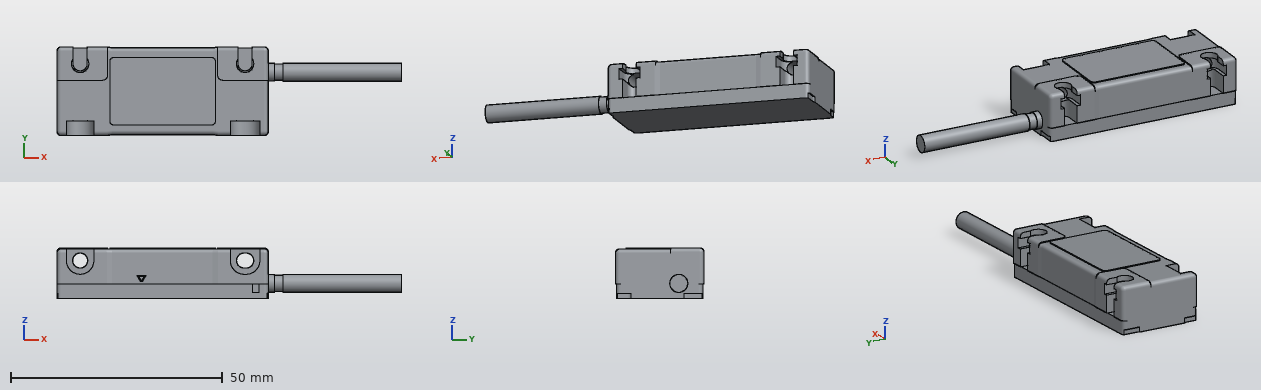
import cadquery as cq
import math

length = 50.0
width = 21.0
pad_top = 12.0
main_top = 11.75
parting_height = 3.5
side_inset = 0.25
edge_radius = 1.0

recess_start = 11.85
recess_slope = 1.25
recess_depth = 0.2

pad_length = 12.0
pad_width = 7.9
pad_corner_radius = 1.2
label_length = 25.0
label_width = 16.0
label_corner_radius = 1.0
label_top = pad_top

hole_inset = 5.5
hole_height = 9.0
hole_diameter = 3.5
counterbore_radius = 3.25
counterbore_depth = 3.5
right_hole_stretch = 0.5

tee_center_y = width - 4.0
keyhole_radius = 2.05
tee_slot_width = 3.35
tee_cavity_width = 5.2
tee_cavity_bottom = 8.0
tee_cavity_top = 10.6

cable_end = 81.5
cable_y = 15.0
cable_z = 3.6
cable_diameter = 4.3
sleeve_diameter = 4.25
neck_diameter = 3.9
sleeve_length = 1.4
neck_length = 2.0

marker_x = 20.0
marker_top = 5.5
marker_width = 2.2
marker_height = 1.4
marker_tip_width = 0.5
marker_depth = 0.3
marker_taper = 40.0

window_left = 46.3
window_width = 1.5
window_bottom = 1.5
window_depth = 1.0

notch_height = 1.25
notch_depth = 0.3
notch_front_end = 3.75
notch_rear_end = 16.25
notch_radius = 1.0


def make_base():
    """Lower body, narrower than the upper housing."""
    base_width = width - 2 * side_inset
    base = cq.Workplane("XY").box(length, base_width, parting_height, centered=False)
    return base.translate((0, side_inset, 0)).edges("|Z").fillet(edge_radius)


def make_housing(top):
    """Upper housing up to the given height, waisted along both long sides."""
    slope_end = recess_start + recess_slope
    outline = [
        (0, 0),
        (recess_start, 0),
        (slope_end, recess_depth),
        (length - slope_end, recess_depth),
        (length - recess_start, 0),
        (length, 0),
        (length, width),
        (length - recess_start, width),
        (length - slope_end, width - recess_depth),
        (slope_end, width - recess_depth),
        (recess_start, width),
        (0, width),
    ]
    block = cq.Workplane("XY").workplane(offset=parting_height).polyline(outline).close()
    block = block.extrude(top - parting_height)
    block = block.faces("<X or >X").edges("|Z").fillet(edge_radius)
    return block.faces(">Z").edges().fillet(edge_radius)


def make_pads():
    """Rear corner pads, cut from a taller copy of the housing."""
    footprint_length = pad_length + pad_corner_radius
    footprint_width = pad_width + pad_corner_radius
    footprint = cq.Workplane("XY").box(footprint_length, footprint_width, pad_top, centered=False)
    left_footprint = (
        footprint.edges("|Z")
        .fillet(pad_corner_radius)
        .translate((-pad_corner_radius, width - pad_width, 0))
    )
    left_pad = make_housing(pad_top).intersect(left_footprint)
    return left_pad.union(left_pad.mirror("YZ", (length / 2, 0, 0)))


def make_label():
    """Flat label plate, standing slightly above the main top face."""
    label = cq.Workplane("XY").box(label_length, label_width, label_top - parting_height, centered=False)
    label = label.edges("|Z").fillet(label_corner_radius)
    return label.translate(((length - label_length) / 2, (width - label_width) / 2, parting_height))


def round_prism(center_x, diameter, stretch, start_y, depth):
    """Horizontal prism along Y, round or stretched along X into a slot."""
    plane = cq.Workplane("XZ", origin=(center_x, start_y, hole_height))
    if stretch > 0:
        return plane.slot2D(diameter + stretch, diameter).extrude(-depth)
    return plane.circle(diameter / 2).extrude(-depth)


def mounting_cut(center_x, stretch):
    """Through hole with an open-topped counterbore on the front face."""
    bore_diameter = 2 * counterbore_radius
    hole = round_prism(center_x, hole_diameter, stretch, 0, width)
    bore = round_prism(center_x, bore_diameter, stretch, 0, counterbore_depth)
    opening = cq.Workplane("XY").box(
        bore_diameter + stretch, counterbore_depth, counterbore_radius, centered=(True, False, False)
    )
    return hole.union(bore).union(opening.translate((center_x, 0, hole_height)))


def rear_slot(center_x, slot_width, bottom, top):
    """Vertical slot with a round inner end, open toward the rear."""
    half_width = slot_width / 2
    reach = width - tee_center_y
    return (
        cq.Workplane("XY", origin=(center_x, tee_center_y, bottom))
        .moveTo(-half_width, reach)
        .lineTo(-half_width, 0)
        .threePointArc((0, -half_width), (half_width, 0))
        .lineTo(half_width, reach)
        .close()
        .extrude(top - bottom)
    )


def tee_slot_cut(center_x):
    narrow = rear_slot(center_x, tee_slot_width, parting_height, pad_top)
    cavity = rear_slot(center_x, tee_cavity_width, tee_cavity_bottom, tee_cavity_top)
    keyhole = cq.Workplane("XY", origin=(center_x, tee_center_y, tee_cavity_bottom))
    keyhole = keyhole.circle(keyhole_radius).extrude(pad_top - tee_cavity_bottom)
    return narrow.union(cavity).union(keyhole)


def make_cable():
    """Cable leaving the right end through a sleeve and a thinner neck."""
    plane = cq.Workplane("YZ", origin=(length, cable_y, cable_z))
    sleeve = plane.circle(sleeve_diameter / 2).extrude(sleeve_length)
    neck_plane = plane.workplane(offset=sleeve_length)
    neck = neck_plane.circle(neck_diameter / 2).extrude(neck_length)
    cable_plane = neck_plane.workplane(offset=neck_length)
    cable_length = cable_end - length - sleeve_length - neck_length
    cable = cable_plane.circle(cable_diameter / 2).extrude(cable_length)
    return sleeve.union(neck).union(cable)


def marker_cut():
    """Downward-pointing blunt triangle, sunk into the front recess with sloping walls."""
    outline = [
        (-marker_width / 2, 0),
        (marker_width / 2, 0),
        (marker_tip_width / 2, -marker_height),
        (-marker_tip_width / 2, -marker_height),
    ]
    plane = cq.Workplane("XZ", origin=(marker_x, recess_depth, marker_top))
    return plane.polyline(outline).close().extrude(-marker_depth, taper=marker_taper)


def window_cut():
    """Small blind window reaching up to the parting line."""
    window = cq.Workplane("XY").box(
        window_width, window_depth, parting_height - window_bottom, centered=False
    )
    return window.translate((window_left, side_inset, window_bottom))


def end_notch_cuts():
    """Shallow finger notches at the bottom corners of the left end, inner ends rounded."""
    arc_run = math.sqrt(2 * notch_radius * notch_depth - notch_depth**2)
    arc_center_x = notch_depth - notch_radius
    half_angle = math.acos(-arc_center_x / notch_radius) / 2
    cuts = cq.Workplane("XY")
    for side_y, inner_y, inward in ((0, notch_front_end, 1), (width, notch_rear_end, -1)):
        flat_y = inner_y - inward * arc_run
        arc_middle = (
            arc_center_x + notch_radius * math.cos(half_angle),
            flat_y + inward * notch_radius * math.sin(half_angle),
        )
        notch = (
            cq.Workplane("XY")
            .moveTo(0, side_y)
            .lineTo(notch_depth, side_y)
            .lineTo(notch_depth, flat_y)
            .threePointArc(arc_middle, (0, inner_y))
            .close()
            .extrude(notch_height)
        )
        cuts = cuts.add(notch)
    return cuts.combine()


result = make_base().union(make_housing(main_top)).union(make_pads()).union(make_label())
holes = [(hole_inset, 0), (length - hole_inset, right_hole_stretch)]
for hole_x, stretch in holes:
    result = result.cut(mounting_cut(hole_x, stretch)).cut(tee_slot_cut(hole_x))
left_notches = end_notch_cuts()
right_notches = left_notches.mirror("YZ", (length / 2, 0, 0))
result = result.cut(left_notches).cut(right_notches)
result = result.cut(marker_cut()).cut(window_cut()).union(make_cable())